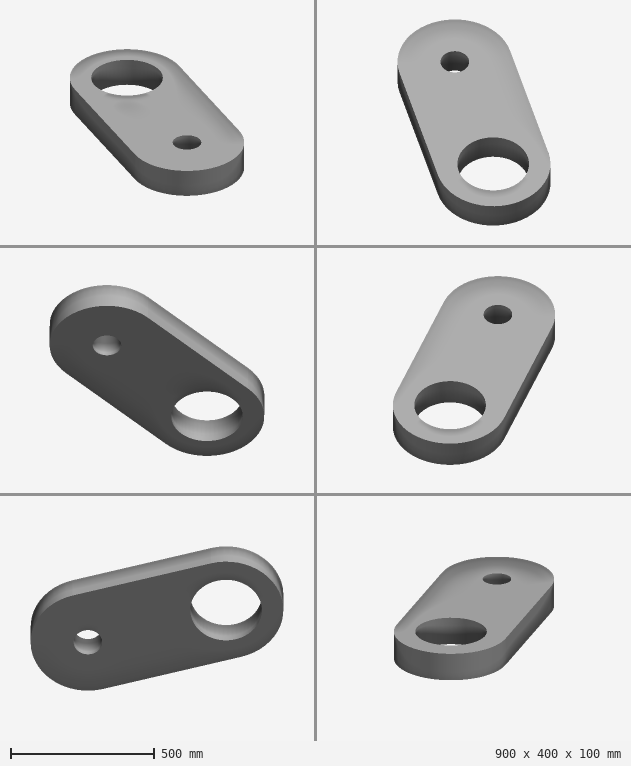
import cadquery as cq

hole_spacing = 500.0
plate_width = 400.0
plate_thickness = 100.0
large_hole_diameter = 250.0
small_hole_diameter = 100.0

plate_length = hole_spacing + plate_width


def make_plate():
    """Flat link with full-round ends, the large-hole end centred on the origin."""
    return (
        cq.Workplane("XY")
        .center(hole_spacing / 2, 0)
        .slot2D(plate_length, plate_width)
        .extrude(plate_thickness)
    )


def make_through_hole(center_x, diameter):
    """Cylinder that cuts a hole through the full plate thickness."""
    return (
        cq.Workplane("XY")
        .center(center_x, 0)
        .circle(diameter / 2)
        .extrude(plate_thickness)
    )


large_hole = make_through_hole(0, large_hole_diameter)
small_hole = make_through_hole(hole_spacing, small_hole_diameter)

result = make_plate().cut(large_hole).cut(small_hole)